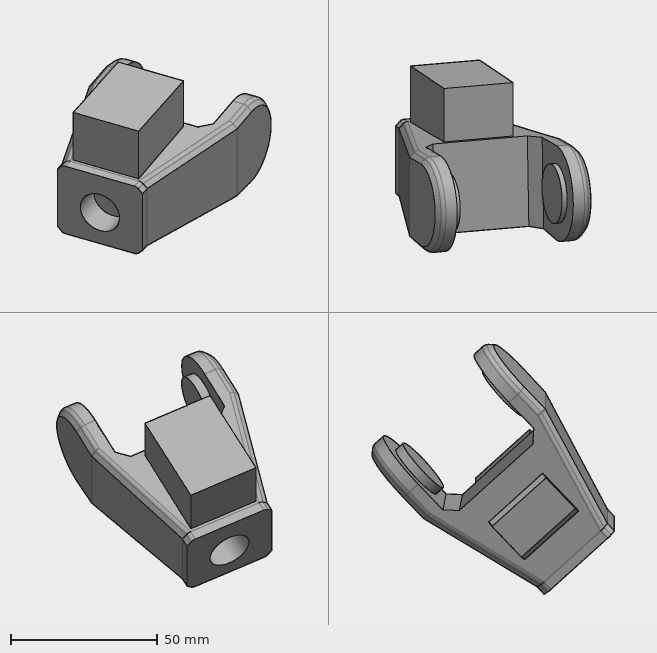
import cadquery as cq
import math

length = 75.95
width = 56.5
neck_width = 32.7
neck_length = 3.5
bend_y = 47.8
neck_top = 15.05
neck_bottom = -12.9
arm_radius = 16.55
pivot_y = length - arm_radius

edge_chamfer = 2.2
edge_round = 2.2
flat_tolerance = 0.01

gap_width = 42.1
gap_floor_y = 40.3
gap_corner = 3.95
gap_tilt = 2.8

boss_diameter = 20.5
left_boss_height = 1.8
right_boss_height = 3.35

block_width = 25.1
block_start_y = 4.55
block_end_y = 38.6
block_top = 34.8
pad_start_y = 13.9
pad_end_y = 32.05
pad_bevel = 1.7
pad_low_z = -16.7
pad_rise = 0.9
bore_diameter = 15.0
bore_depth = 10.0


def tangent_point(neck_z):
    """Point (y, z) where a line from the neck edge touches the arm circle."""
    to_neck_y = neck_length - pivot_y
    distance = math.hypot(to_neck_y, neck_z)
    side = math.copysign(1, neck_z)
    angle = math.atan2(neck_z, to_neck_y) - side * math.acos(arm_radius / distance)
    return pivot_y + arm_radius * math.cos(angle), arm_radius * math.sin(angle)


upper_tangent = tangent_point(neck_top)
lower_tangent = tangent_point(neck_bottom)


def make_fork():
    half_width = width / 2
    half_neck = neck_width / 2
    plan = (
        cq.Workplane("XY")
        .polyline([
            (half_neck, neck_length),
            (half_width, bend_y),
            (half_width, 2 * length),
            (-half_width, 2 * length),
            (-half_width, bend_y),
            (-half_neck, neck_length),
        ])
        .close()
        .extrude(arm_radius * 2, both=True)
    )
    side = (
        cq.Workplane("YZ")
        .moveTo(neck_length, neck_bottom)
        .lineTo(*lower_tangent)
        .threePointArc((length, 0), upper_tangent)
        .lineTo(neck_length, neck_top)
        .close()
        .extrude(width, both=True)
    )
    return plan.intersect(side)


def make_neck():
    return (
        cq.Workplane("XY")
        .box(neck_width, neck_length, neck_top - neck_bottom, centered=(True, False, False))
        .translate((0, 0, neck_bottom))
    )


def outer_x(y):
    """Half width of the body at a given y."""
    flare = (y - neck_length) / (bend_y - neck_length)
    flare = min(max(flare, 0), 1)
    return neck_width / 2 + flare * (width - neck_width) / 2


def runs_along_body(edge):
    """True for edges that lie in no plane of constant y."""
    box = edge.BoundingBox()
    is_upright = box.xlen < flat_tolerance and box.ylen < flat_tolerance
    return box.ylen > flat_tolerance and not is_upright


def is_inset(edge):
    """True for edges that lie inward from the side faces, where the bevel ends."""
    start = edge.startPoint()
    return abs(start.x) < outer_x(start.y) - edge_chamfer / 2


def soften_outer_edges(body):
    """Bevel the long outer edges, then round where the bevel meets the other faces."""
    solid = body.val()
    outer_edges = [edge for edge in solid.Edges() if runs_along_body(edge)]
    solid = solid.chamfer(edge_chamfer, None, outer_edges)
    inset_edges = [edge for edge in solid.Edges() if runs_along_body(edge) and is_inset(edge)]
    return cq.Workplane(solid.fillet(edge_round, inset_edges))


def cut_gap(body):
    slope = math.atan2(upper_tangent[1] - neck_top, upper_tangent[0] - neck_length)
    floor_z = neck_top + (gap_floor_y - neck_length) * math.tan(slope)
    tilt = math.radians(gap_tilt)
    plane = cq.Plane(
        origin=(0, gap_floor_y, floor_z),
        xDir=(1, 0, 0),
        normal=(0, -math.sin(tilt), math.cos(tilt)),
    )
    half_gap = gap_width / 2
    cutter = (
        cq.Workplane(plane)
        .polyline([
            (-half_gap + gap_corner, 0),
            (half_gap - gap_corner, 0),
            (half_gap, gap_corner),
            (half_gap, length),
            (-half_gap, length),
            (-half_gap, gap_corner),
        ])
        .close()
        .extrude(width, both=True)
    )
    return body.cut(cutter)


def make_boss(side, height):
    return (
        cq.Workplane("YZ", origin=(side * gap_width / 2, 0, 0))
        .center(pivot_y, 0)
        .circle(boss_diameter / 2)
        .extrude(-side * height)
    )


def make_block():
    return (
        cq.Workplane("XY")
        .center(0, (block_start_y + block_end_y) / 2)
        .rect(block_width, block_end_y - block_start_y)
        .extrude(block_top)
    )


def make_pad():
    root_z = pad_low_z + pad_bevel
    return (
        cq.Workplane("YZ")
        .polyline([
            (pad_start_y, 0),
            (pad_start_y, root_z + pad_rise),
            (pad_start_y + pad_bevel, pad_low_z + pad_rise),
            (pad_end_y - pad_bevel, pad_low_z),
            (pad_end_y, root_z),
            (pad_end_y, 0),
        ])
        .close()
        .extrude(block_width / 2, both=True)
    )


body = soften_outer_edges(make_fork()).union(soften_outer_edges(make_neck()))
result = cut_gap(body)
result = result.union(make_boss(-1, left_boss_height))
result = result.union(make_boss(1, right_boss_height))
result = result.union(make_block()).union(make_pad())
bore = cq.Workplane("XZ").circle(bore_diameter / 2).extrude(-bore_depth)
result = result.cut(bore)